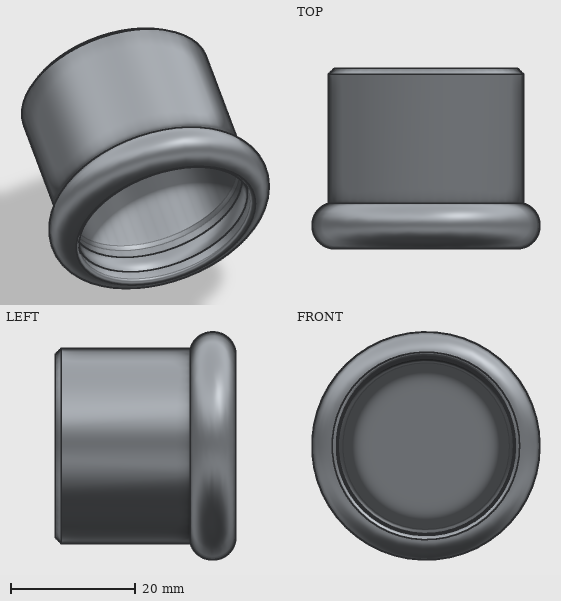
import cadquery as cq
import math

length = 29.05
bead_outer_radius = 18.35
bead_section_radius = 3.75
tube_outer_radius = 15.7
tube_bore_radius = 28.4 / 2
mouth_bore_radius = 28.8 / 2
end_chamfer = 1.0
floor_thickness = 1.5
floor_fillet = 0.8
lip_outer_radius = 15.08
lip_depth = 0.8
taper_start = 6.7
taper_end = 7.52
ridge_half_width = 1.5
ridge_height = 0.3

bead_center_radius = bead_outer_radius - bead_section_radius
bead_center_y = bead_section_radius
floor_y = length - floor_thickness
ridge_start = bead_center_y - ridge_half_width
ridge_end = bead_center_y + ridge_half_width


def bead_half_width(radius):
    """Axial half width of the round bead at a given distance from the axis."""
    return math.sqrt(bead_section_radius**2 - (radius - bead_center_radius) ** 2)


bead_back_y = bead_center_y + bead_half_width(tube_outer_radius)
lip_y = bead_center_y - bead_half_width(lip_outer_radius)
diagonal = math.sqrt(0.5)

lip_mid = (
    lip_outer_radius - diagonal * (lip_outer_radius - mouth_bore_radius),
    lip_depth - diagonal * (lip_depth - lip_y),
)
floor_fillet_mid = (
    tube_bore_radius - floor_fillet * (1 - diagonal),
    floor_y - floor_fillet * (1 - diagonal),
)

half_section = (
    cq.Workplane("XY")
    .moveTo(0, floor_y)
    .lineTo(0, length)
    .lineTo(tube_outer_radius - end_chamfer, length)
    .lineTo(tube_outer_radius, length - end_chamfer)
    .lineTo(tube_outer_radius, bead_back_y)
    .threePointArc((bead_outer_radius, bead_center_y), (lip_outer_radius, lip_y))
    .threePointArc(lip_mid, (mouth_bore_radius, lip_depth))
    .lineTo(mouth_bore_radius, ridge_start)
    .threePointArc((mouth_bore_radius - ridge_height, bead_center_y), (mouth_bore_radius, ridge_end))
    .lineTo(mouth_bore_radius, taper_start)
    .lineTo(tube_bore_radius, taper_end)
    .lineTo(tube_bore_radius, floor_y - floor_fillet)
    .threePointArc(floor_fillet_mid, (tube_bore_radius - floor_fillet, floor_y))
    .close()
)

result = half_section.revolve(360, (0, 0, 0), (0, 1, 0))